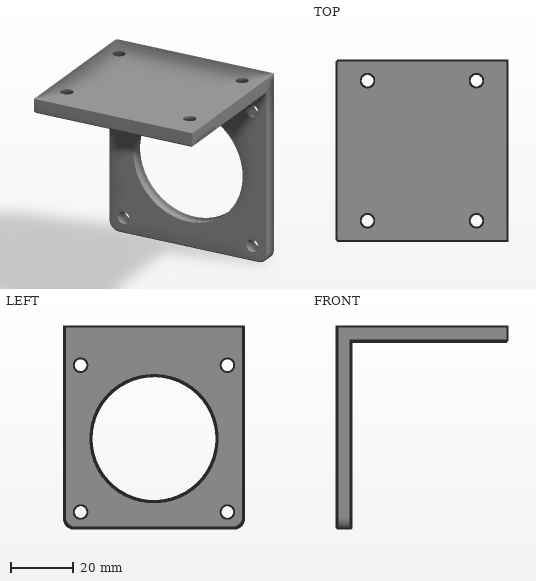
import cadquery as cq

LENGTH = 55.0
WIDTH = 58.0
HEIGHT = 65.0
THICKNESS = 5.0
CORNER_RADIUS = 3.5
EDGE_CHAMFER = 0.5

BORE_DIAMETER = 40.0
BORE_DEPTH_BELOW_TOP = 36.0
SCREW_DIAMETER = 4.3
WALL_SCREW_PITCH = 47.1

FLANGE_SCREW_PITCH_X = 35.0
FLANGE_SCREW_PITCH_Y = 45.0
FLANGE_SCREW_OFFSET = 10.0

OVERCUT = 0.65


def make_blank():
    """L-shaped bracket with rounded lower corners on its wall."""
    profile = [
        (0, 0),
        (LENGTH, 0),
        (LENGTH, -THICKNESS),
        (THICKNESS, -THICKNESS),
        (THICKNESS, -HEIGHT),
        (0, -HEIGHT),
    ]
    blank = cq.Workplane("XZ").polyline(profile).close().extrude(WIDTH / 2, both=True)
    return blank.faces("<Z").edges("|X").fillet(CORNER_RADIUS)


def chamfer_edges(bracket):
    """Break the rims of the wall and of the flange underside, leaving the bend sharp."""
    outer_rim = bracket.faces("<X").edges("not >Z")
    wall_inner_rim = bracket.faces(cq.selectors.NearestToPointSelector((THICKNESS, 0, -HEIGHT / 2)))
    flange_lower_rim = bracket.faces(cq.selectors.NearestToPointSelector((LENGTH / 2, 0, -THICKNESS)))
    rims = outer_rim.add(wall_inner_rim.edges("not >Z")).add(flange_lower_rim.edges("not <X"))
    return rims.chamfer(EDGE_CHAMFER)


def wall_plane():
    """Plane centred on the bore, just outside the wall, with its normal along +X."""
    return cq.Workplane("YZ", origin=(-OVERCUT, 0, -BORE_DEPTH_BELOW_TOP))


def make_wall_cutters():
    """Large bore with a chamfered outer mouth, and four screw holes around it."""
    cut_length = THICKNESS + 2 * OVERCUT
    bore = wall_plane().circle(BORE_DIAMETER / 2).extrude(cut_length)
    mouth = (
        cq.Workplane("YZ", origin=(0, 0, -BORE_DEPTH_BELOW_TOP))
        .circle(BORE_DIAMETER / 2 + EDGE_CHAMFER)
        .workplane(offset=EDGE_CHAMFER)
        .circle(BORE_DIAMETER / 2)
        .loft(ruled=True)
    )
    screws = (
        wall_plane()
        .rect(WALL_SCREW_PITCH, WALL_SCREW_PITCH, forConstruction=True)
        .vertices()
        .circle(SCREW_DIAMETER / 2)
        .extrude(cut_length)
    )
    return bore.union(mouth).union(screws)


def make_flange_cutters():
    """Four screw holes through the flange."""
    pattern_centre_x = FLANGE_SCREW_OFFSET + FLANGE_SCREW_PITCH_X / 2
    return (
        cq.Workplane("XY", origin=(pattern_centre_x, 0, OVERCUT))
        .rect(FLANGE_SCREW_PITCH_X, FLANGE_SCREW_PITCH_Y, forConstruction=True)
        .vertices()
        .circle(SCREW_DIAMETER / 2)
        .extrude(-THICKNESS - 2 * OVERCUT)
    )


bracket = chamfer_edges(make_blank())
result = bracket.cut(make_wall_cutters()).cut(make_flange_cutters())